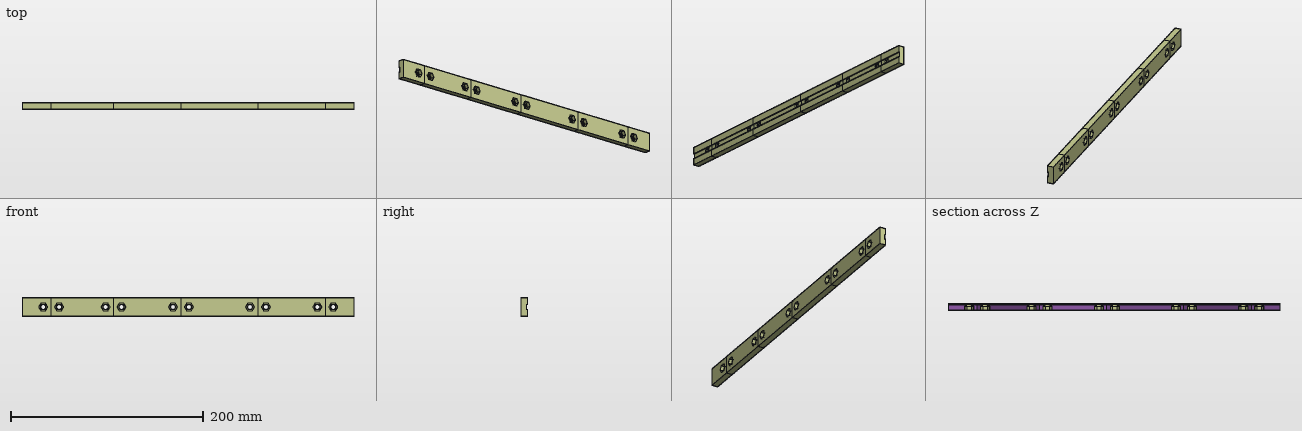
import math

import cadquery as cq

bar_length = 345.0
bar_depth = 7.0
bar_height = 19.5
end_length = 30.0
short_length = 65.0
medium_length = 70.0
long_length = bar_length - 2 * end_length - short_length - 2 * medium_length

groove_width = 5.2
groove_depth = 1.0

hole_diameter = 5.2
pocket_across_flats = 8.0
pocket_depth = 4.0
hole_to_joint = 8.3

hexagon_sides = 6
pocket_across_corners = pocket_across_flats / math.cos(math.pi / hexagon_sides)
mid_height = bar_height / 2


def segment(start, length, hole_offsets):
    """Grooved block starting at X = start, with holes at the given distances from its left end."""
    block = cq.Workplane("XY").box(length, bar_depth, bar_height, centered=False)
    groove = (
        cq.Workplane("XY")
        .box(length, groove_depth, groove_width, centered=False)
        .translate((0, bar_depth - groove_depth, mid_height - groove_width / 2))
    )
    hole_points = [(offset, mid_height) for offset in hole_offsets]
    front = cq.Workplane("XZ").pushPoints(hole_points)
    holes = front.circle(hole_diameter / 2).extrude(-bar_depth)
    pockets = front.polygon(hexagon_sides, pocket_across_corners).extrude(-pocket_depth)
    return block.cut(groove).cut(holes).cut(pockets).translate((start, 0, 0))


def end_segments():
    """The two end blocks, each with one hole beside its only joint."""
    left = segment(0, end_length, [end_length - hole_to_joint])
    right = segment(bar_length - end_length, end_length, [hole_to_joint])
    return [left.val(), right.val()]


def middle_segments():
    """The blocks between the ends, each with a hole near both joints."""
    blocks = []
    start = end_length
    for length in (short_length, medium_length, long_length, medium_length):
        blocks.append(segment(start, length, [hole_to_joint, length - hole_to_joint]).val())
        start += length
    return blocks


result = cq.Compound.makeCompound([*end_segments(), *middle_segments()])